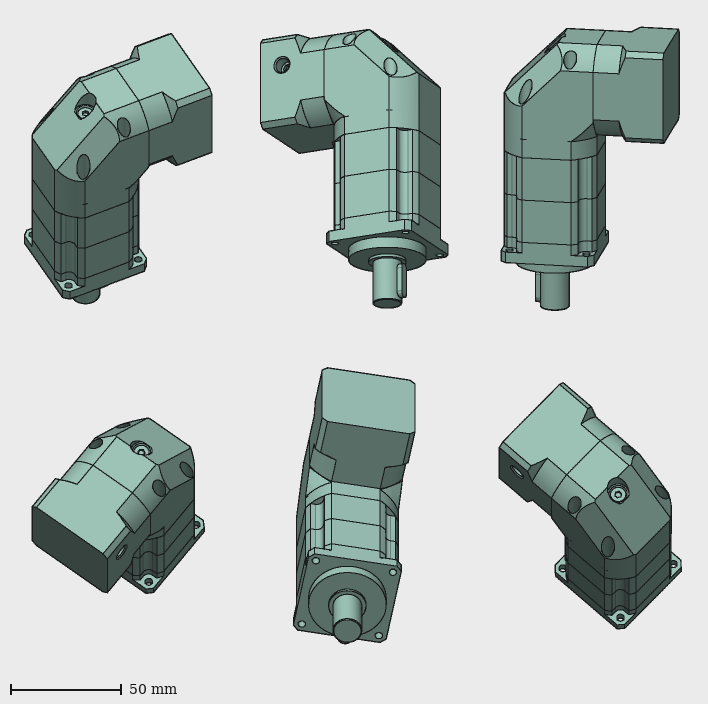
import cadquery as cq
import math

WIDTH = 42.6
HALF = WIDTH / 2
TOTAL_HEIGHT = 128.0
TOTAL_DEPTH = 74.6
CORNER_RADIUS = 24.0
SQUARE_CHAMFER = 2.4
FLAT_HALF = math.sqrt(CORNER_RADIUS**2 - HALF**2)
OUTSIDE = 2 * WIDTH

STEP = 5.0
RING_COUNT = 2
RING_LENGTH = 20.0
FLANGE_BOTTOM = 26.0
PILOT_BOTTOM = FLANGE_BOTTOM - STEP
FLANGE_TOP = FLANGE_BOTTOM + STEP
RING_BOTTOM = FLANGE_TOP + STEP
ELBOW_BOTTOM = RING_BOTTOM + RING_COUNT * RING_LENGTH
INPUT_AXIS_Z = TOTAL_HEIGHT - HALF
ADAPTER_END_Y = TOTAL_DEPTH - HALF

SHAFT_RADIUS = 6.5
SHAFT_CHAMFER = 0.4
COLLAR_RADIUS = 8.5
COLLAR_THICKNESS = 1.3
KEY_WIDTH = 5.0
KEY_LENGTH = 16.0
KEY_BOTTOM = 1.9
KEY_REACH = 8.5

PILOT_RADIUS = 17.5
BOLT_OFFSET = 17.7
BOLT_HOLE_RADIUS = 1.7
CHANNEL_WALL = 14.1
CHANNEL_FILLET = 3.1

SLOPE_LEG = 25.0
SLOPE_EDGE_CHAMFER = 9.1
INNER_BEND_Z = 84.6
BEND_CONE_LENGTH = 7.4
BEND_CONE_RISE = 4.8
SCREW_X = 17.9
SCREW_Y = 10.2
SCREW_POCKET_RADIUS = 3.0
SCREW_SEAT_RADIUS = 2.5
SCREW_SEAT_DEPTH = 1.3
SCREW_POCKET_FLOOR = 84.5
PLUG_POCKET_RADIUS = 4.9
PLUG_POCKET_FLOOR = 120.0
PLUG_RECESS_RADIUS = 4.1
PLUG_RECESS_DEPTH = 0.6
PLUG_HEX = 3.2
PLUG_SOCKET_DEPTH = 1.3

ROUND_END_Y = 33.2
ADAPTER_CONE_LENGTH = 2.2
ADAPTER_CONE_RISE = 3.4
ACCESS_Y = 42.5
ACCESS_Z = 113.7
ACCESS_RADIUS = 3.3
ACCESS_DEPTH = 6.4
ACCESS_CHAMFER = 0.6
ACCESS_HEX = 4.9
ACCESS_HEX_DEPTH = 1.9


def box(x_range, y_range, z_range):
    """Box between two limits on each axis."""
    size = [high - low for low, high in (x_range, y_range, z_range)]
    return cq.Workplane("XY").box(*size, centered=False).translate((x_range[0], y_range[0], z_range[0]))


def cylinder(radius, bottom, top, x=0.0, y=0.0):
    """Vertical cylinder between two levels."""
    return cq.Workplane("XY", origin=(x, y, bottom)).circle(radius).extrude(top - bottom)


def rounded_section(bottom, top):
    """Square section whose corners are turned to the corner radius."""
    square = box((-HALF, HALF), (-HALF, HALF), (bottom, top))
    return square.intersect(cylinder(CORNER_RADIUS, bottom, top))


def bolt_channels(bottom, top):
    """Four corner channels that give access to the flange bolts."""
    beam = cq.Workplane("XY", origin=(0, 0, bottom)).rect(WIDTH, WIDTH).extrude(top - bottom)
    beam = beam.edges("|Z").fillet(CHANNEL_FILLET)
    middle = CHANNEL_WALL + HALF
    channels = cq.Workplane("XY")
    for x in (-middle, middle):
        for y in (-middle, middle):
            channels = channels.union(beam.translate((x, y, 0)))
    return channels


def grooved_section(bottom, top):
    """Rounded section with the four bolt channels along its corners."""
    return rounded_section(bottom, top).cut(bolt_channels(bottom, top))


def corner_turning(start, round_end, cone_length, cone_rise):
    """Cutter around Z that turns the section corners round and then flares out as a cone."""
    clear_radius = WIDTH
    flare_length = (clear_radius - CORNER_RADIUS) * cone_length / cone_rise
    outline = [
        (CORNER_RADIUS, start),
        (CORNER_RADIUS, round_end),
        (clear_radius, round_end + flare_length),
        (clear_radius, start),
    ]
    return cq.Workplane("XZ").polyline(outline).close().revolve(360, (0, 0, 0), (0, 1, 0))


def make_shaft():
    collar_bottom = PILOT_BOTTOM - COLLAR_THICKNESS
    shaft = cylinder(SHAFT_RADIUS, 0, PILOT_BOTTOM).faces("<Z").chamfer(SHAFT_CHAMFER)
    collar = cylinder(COLLAR_RADIUS, collar_bottom, PILOT_BOTTOM)
    key = (
        cq.Workplane("XZ", origin=(0, 0, KEY_BOTTOM + KEY_LENGTH / 2))
        .slot2D(KEY_LENGTH, KEY_WIDTH, 90)
        .extrude(KEY_REACH)
    )
    return shaft.union(collar).union(key)


def make_output_flange():
    plate = box((-HALF, HALF), (-HALF, HALF), (FLANGE_BOTTOM, FLANGE_TOP)).edges("|Z").chamfer(SQUARE_CHAMFER)
    pilot = cylinder(PILOT_RADIUS, PILOT_BOTTOM, FLANGE_BOTTOM)
    bolt_holes = (
        cq.Workplane("XY", origin=(0, 0, FLANGE_BOTTOM))
        .rect(2 * BOLT_OFFSET, 2 * BOLT_OFFSET, forConstruction=True)
        .vertices()
        .circle(BOLT_HOLE_RADIUS)
        .extrude(STEP)
    )
    return plate.union(pilot).union(grooved_section(FLANGE_TOP, RING_BOTTOM)).cut(bolt_holes)


def make_ring_housing(index):
    bottom = RING_BOTTOM + index * RING_LENGTH
    return grooved_section(bottom, bottom + RING_LENGTH)


def bend_block():
    """Block with its outer bend cut at 45 degrees and the edges of that cut bevelled."""
    side_outline = [
        (-HALF, ELBOW_BOTTOM),
        (HALF, ELBOW_BOTTOM),
        (HALF, TOTAL_HEIGHT),
        (SLOPE_LEG - HALF, TOTAL_HEIGHT),
        (-HALF, TOTAL_HEIGHT - SLOPE_LEG),
    ]
    block = cq.Workplane("YZ", origin=(-HALF, 0, 0)).polyline(side_outline).close().extrude(WIDTH)
    slope_foot = (0, -HALF, TOTAL_HEIGHT - SLOPE_LEG)
    slope = cq.Plane(origin=slope_foot, xDir=(1, 0, 0), normal=(0, 1, 1))
    bevel_outline = [
        (HALF - SLOPE_EDGE_CHAMFER, 0),
        (HALF, 0),
        (HALF, SLOPE_EDGE_CHAMFER),
    ]
    bevel = cq.Workplane(slope).polyline(bevel_outline).close().extrude(OUTSIDE, both=True)
    return block.cut(bevel).cut(bevel.mirror("YZ"))


def corner_sliver():
    """Face between the square corner at +X +Y and the turned radius."""
    mid = CORNER_RADIUS / math.sqrt(2)
    return (
        cq.Workplane("XY")
        .moveTo(HALF, FLAT_HALF)
        .threePointArc((mid, mid), (FLAT_HALF, HALF))
        .lineTo(HALF, HALF)
        .close()
    )


def screw_pockets():
    """Four stepped vertical pockets for the screws that hold the elbow."""
    pockets = cq.Workplane("XY")
    seat_bottom = SCREW_POCKET_FLOOR - SCREW_SEAT_DEPTH
    for x in (-SCREW_X, SCREW_X):
        for y in (-SCREW_Y, SCREW_Y):
            pockets = pockets.union(cylinder(SCREW_POCKET_RADIUS, SCREW_POCKET_FLOOR, TOTAL_HEIGHT, x, y))
            pockets = pockets.union(cylinder(SCREW_SEAT_RADIUS, seat_bottom, SCREW_POCKET_FLOOR, x, y))
    return pockets


def plug_pocket():
    """Vertical pocket in the bend, with a tapered recess and a hexagon socket in its floor."""
    pocket = cylinder(PLUG_POCKET_RADIUS, PLUG_POCKET_FLOOR, TOTAL_HEIGHT)
    floor = cq.Workplane("XY", origin=(0, 0, PLUG_POCKET_FLOOR))
    recess = floor.circle(PLUG_RECESS_RADIUS).extrude(-PLUG_RECESS_DEPTH, taper=45)
    socket = floor.transformed(rotate=(0, 0, 90)).polygon(6, PLUG_HEX)
    return pocket.union(recess).union(socket.extrude(-PLUG_RECESS_DEPTH - PLUG_SOCKET_DEPTH))


def make_elbow():
    front_corner = corner_sliver().extrude(OUTSIDE).mirror("XZ").translate((0, 0, ELBOW_BOTTOM))
    top_corner = (
        corner_sliver().extrude(WIDTH).rotate((0, 0, 0), (1, 0, 0), 90).translate((0, HALF, INPUT_AXIS_Z))
    )
    back_half = box((-OUTSIDE, OUTSIDE), (0, OUTSIDE), (0, TOTAL_HEIGHT))
    back_turning = corner_turning(ELBOW_BOTTOM, INNER_BEND_Z, BEND_CONE_LENGTH, BEND_CONE_RISE)
    elbow = bend_block().cut(back_turning.intersect(back_half))
    for corner in (front_corner, top_corner):
        elbow = elbow.cut(corner).cut(corner.mirror("YZ"))
    return elbow.cut(screw_pockets()).cut(plug_pocket())


def make_motor_adapter():
    block = box((-HALF, HALF), (HALF, ADAPTER_END_Y), (TOTAL_HEIGHT - WIDTH, TOTAL_HEIGHT))
    block = block.edges("|Y").chamfer(SQUARE_CHAMFER)
    turning = corner_turning(HALF, ROUND_END_Y, ADAPTER_CONE_LENGTH, ADAPTER_CONE_RISE)
    turning = turning.rotate((0, 0, 0), (1, 0, 0), -90).translate((0, 0, INPUT_AXIS_Z))
    block = block.cut(turning)
    mouth = cq.Workplane("YZ", origin=(-HALF, ACCESS_Y, ACCESS_Z))
    access = mouth.circle(ACCESS_RADIUS).extrude(ACCESS_DEPTH)
    countersink = mouth.circle(ACCESS_RADIUS + ACCESS_CHAMFER).extrude(2 * ACCESS_CHAMFER, taper=45)
    socket = mouth.polygon(6, ACCESS_HEX).extrude(ACCESS_DEPTH + ACCESS_HEX_DEPTH)
    return block.cut(access).cut(countersink).cut(socket)


shaft = make_shaft()
output_flange = make_output_flange()
ring_housings = [make_ring_housing(index) for index in range(RING_COUNT)]
elbow = make_elbow()
motor_adapter = make_motor_adapter()

result = cq.Compound.makeCompound(
    [shaft.val(), output_flange.val(), *[ring.val() for ring in ring_housings], elbow.val(), motor_adapter.val()]
)